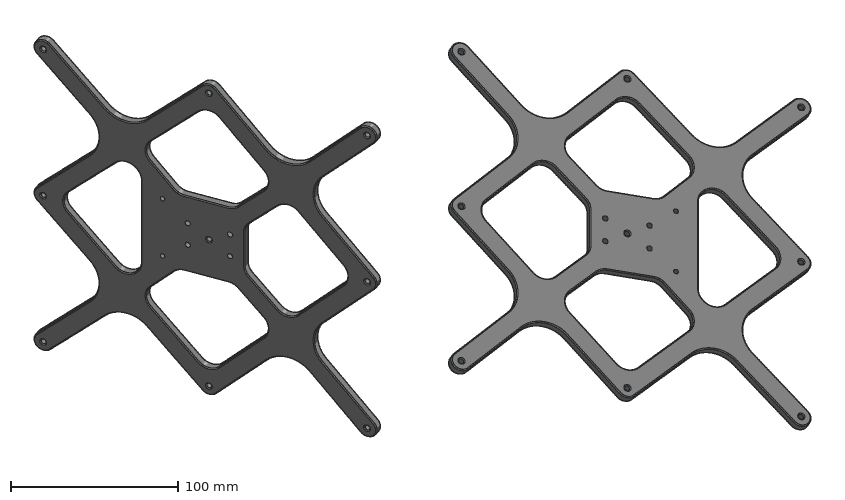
import cadquery as cq
import math

length = 228.0
thickness = 6.0
height = 223.0

bar_width = 12.8
half_bar = bar_width / 2
junction_radius = 20.0
window_radius = 9.8
edge_chamfer = 0.7

hub_left = -42.6
hub_right = 26.2
hub_height = 54.0
hub_width = hub_right - hub_left
hub_middle_x = (hub_left + hub_right) / 2

tip_hole_diameter = 3.2
mount_hole_diameter = 3.5
mount_spacing_x = 28.0
mount_spacing_z = 15.5
side_hole_diameter = 3.0
side_hole_x = -28.3
side_hole_spacing = 41.0

tip_x = length / 2 - half_bar
tip_z = height / 2 - half_bar
diamond_x = tip_x - tip_z
top = (diamond_x, tip_z)
right = (tip_x, 0)
bottom = (diamond_x, -tip_z)
left = (-tip_x, 0)
diamond = [top, right, bottom, left]
arm_tips = [(tip_x, tip_z), (tip_x, -tip_z), (-tip_x, -tip_z), (-tip_x, tip_z)]
centre = (0, 0)


def midpoint(a, b):
    return ((a[0] + b[0]) / 2, (a[1] + b[1]) / 2)


top_right = midpoint(top, right)
bottom_right = midpoint(right, bottom)
bottom_left = midpoint(bottom, left)
top_left = midpoint(left, top)
nodes = [top_right, bottom_right, bottom_left, top_left]


def back_plane():
    """XZ plane on the back face; extrusions run towards -Y, through the plate."""
    return cq.Workplane("XZ", origin=(0, thickness / 2, 0))


def bar(start, end):
    """Round-ended bar between two points."""
    dx = end[0] - start[0]
    dz = end[1] - start[1]
    slot_length = math.hypot(dx, dz) + bar_width
    angle = math.degrees(math.atan2(dz, dx))
    return back_plane().center(*midpoint(start, end)).slot2D(slot_length, bar_width, angle).extrude(thickness)


def around(node):
    """Selector for everything near a node, well clear of the bar tips."""
    reach = 3 * half_bar
    low = (node[0] - reach, -thickness, node[1] - reach)
    high = (node[0] + reach, thickness, node[1] + reach)
    return cq.selectors.BoxSelector(low, high)


def outline():
    """Solid diamond with rounded tips and an arm from the middle of each side."""
    body = back_plane().polyline(diamond).close().offset2D(half_bar, "arc").extrude(thickness)
    for tip, node in zip(arm_tips, nodes):
        body = body.union(bar(tip, node))
    for node in nodes:
        body = body.edges("|Y").edges(around(node)).fillet(junction_radius)
    return body


def window(cell, strip_width, strip_height):
    """Opening inside a cell of bar centrelines, cut off flat by a strip across the hub."""
    opening = back_plane().polyline(cell).close().offset2D(-half_bar).extrude(thickness)
    strip = back_plane().center(hub_middle_x, 0).rect(strip_width, strip_height).extrude(thickness)
    return opening.cut(strip).edges("|Y").fillet(window_radius)


def holes(points, diameter):
    return back_plane().pushPoints(points).circle(diameter / 2).extrude(thickness)


def rectangle_points(middle_x, spacing_x, spacing_z):
    """Corners of a rectangle centred on the X axis."""
    return [
        (middle_x + side_x * spacing_x / 2, side_z * spacing_z / 2)
        for side_x in (-1, 1)
        for side_z in (-1, 1)
    ]


body = outline()
body = body.cut(window([top, top_right, centre, top_left], length, hub_height))
body = body.cut(window([bottom, bottom_left, centre, bottom_right], length, hub_height))
body = body.cut(window([right, bottom_right, centre, top_right], hub_width, height))
body = body.cut(window([left, top_left, centre, bottom_left], hub_width, height))

body = body.cut(holes(arm_tips + diamond + [(diamond_x, 0)], tip_hole_diameter))
body = body.faces("<Y or >Y").chamfer(edge_chamfer)

mount_points = rectangle_points(diamond_x, mount_spacing_x, mount_spacing_z)
body = body.cut(holes(mount_points, mount_hole_diameter))
side_points = [(side_hole_x, side * side_hole_spacing / 2) for side in (-1, 1)]
result = body.cut(holes(side_points, side_hole_diameter))